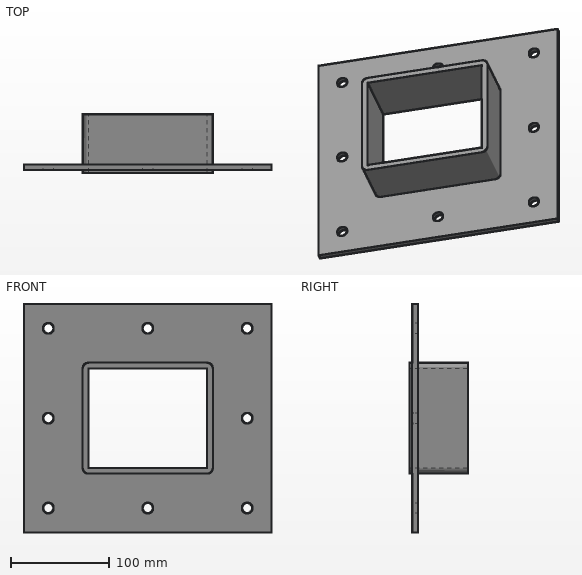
import cadquery as cq

opening_width = 120.5
opening_height = 101.0
wall = 6.0
sleeve_depth = 60.0
flange_margin = 60.0
flange_thickness = 6.0
front_lip = 3.0
hole_diameter = 10.5
hole_edge_distance = 25.0

sleeve_width = opening_width + 2 * wall
sleeve_height = opening_height + 2 * wall
flange_width = sleeve_width + 2 * flange_margin
flange_height = sleeve_height + 2 * flange_margin
hole_offset_x = flange_width / 2 - hole_edge_distance
hole_offset_z = flange_height / 2 - hole_edge_distance


def block(width, depth, height, front_y):
    """Box centred on X and Z, running from front_y toward +Y."""
    return cq.Workplane("XY").box(width, depth, height, centered=(True, False, True)).translate((0, front_y, 0))


def make_flange():
    """Flat plate with its front face at Y = 0."""
    return block(flange_width, flange_thickness, flange_height, 0)


def make_sleeve_body():
    """Solid sleeve with rounded outer corners, reaching past both flange faces."""
    body = block(sleeve_width, sleeve_depth, sleeve_height, -front_lip)
    return body.edges("|Y").fillet(wall)


def make_opening():
    """Sharp-cornered rectangular passage through the sleeve."""
    return block(opening_width, sleeve_depth, opening_height, -front_lip)


def make_bolt_holes():
    """Cutters at the flange corners and the middle of each side."""
    columns = (-hole_offset_x, 0, hole_offset_x)
    rows = (-hole_offset_z, 0, hole_offset_z)
    centres = [(x, z) for x in columns for z in rows if (x, z) != (0, 0)]
    return cq.Workplane("XZ").pushPoints(centres).circle(hole_diameter / 2).extrude(-flange_thickness)


result = make_flange().union(make_sleeve_body()).cut(make_opening()).cut(make_bolt_holes())